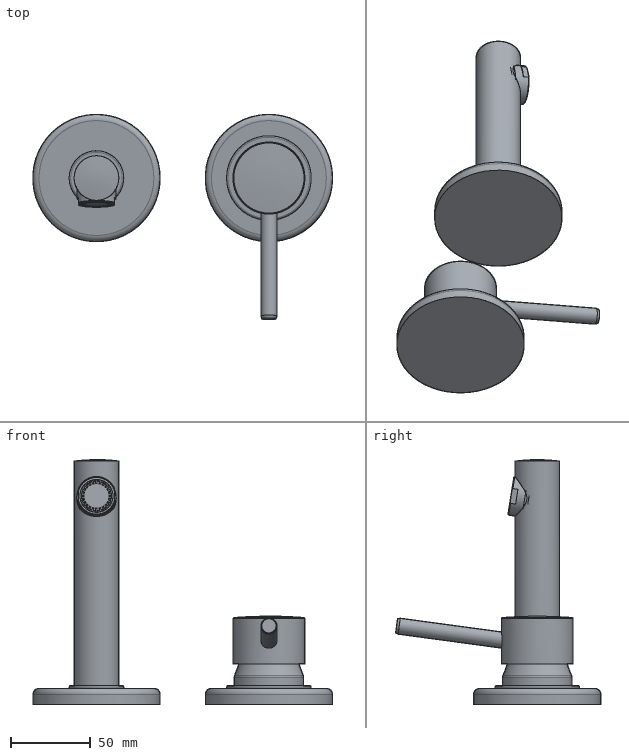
import cadquery as cq
import math

total_width = 188.0
total_depth = 128.8
total_height = 153.5
flange_diameter = 79.9
spout_x = (flange_diameter - total_width) / 2
mixer_x = -spout_x

flange_height = 10.2
flange_fillet = 4.0
ring_height = 1.7
ring_fillet = 1.0
spout_ring_radius = 17.1
mixer_ring_radius = 26.5

column_diameter = 28.0
column_radius = column_diameter / 2
column_crown = 1.0

bore_radius = 12.5
bore_depth = 11.3
aerator_radius = 12.2
aerator_head_length = 8.8
spigot_radius = 11.7
aerator_tilt = 9.0
aerator_face_reach = 16.5
aerator_face_z = 130.8
aerator_rim_chamfer = 0.5
flat_width = 22.5
flat_length = 3.8
rim_inner_radius = 10.3
groove_depth = 1.0
disc_radius = 9.4
notch_count = 24
notch_width = 1.0
notch_length = 1.5

neck_radius = 21.8
neck_shoulder_z = 17.0
cone_start_z = 18.0
cone_start_radius = 21.6
cone_end_radius = 18.8

cap_radius = 22.5
cap_bottom_z = 25.5
cap_top_z = 55.5
cap_crown = 1.0
cap_chamfer = 0.5
lever_radius = 5.0
lever_tilt = 7.7
lever_axis_z = 37.5
lever_end_chamfer_depth = 0.5
lever_end_chamfer_length = 1.7
handle_reach = total_depth - flange_diameter / 2


def make_flange(x):
    """Round base plate with a rounded upper edge."""
    plate = cq.Workplane("XY").center(x, 0).circle(flange_diameter / 2).extrude(flange_height)
    return plate.faces(">Z").edges().fillet(flange_fillet)


def make_ring(x, outer_radius, inner_radius):
    """Thin seal ring on a flange, rounded on its outer upper edge."""
    base = cq.Workplane("XY", origin=(x, 0, flange_height))
    disc = base.circle(outer_radius).extrude(ring_height).faces(">Z").edges().fillet(ring_fillet)
    return disc.cut(base.circle(inner_radius).extrude(ring_height))


def make_crowned_cylinder(x, radius, bottom_z, top_z, crown):
    """Upright cylinder with a slightly domed top."""
    rim_z = top_z - crown
    sphere_radius = (radius**2 + crown**2) / (2 * crown)
    mid_radius = radius / 2
    mid_z = top_z - sphere_radius + math.sqrt(sphere_radius**2 - mid_radius**2)
    profile = (
        cq.Workplane("XZ", origin=(x, 0, 0))
        .moveTo(0, bottom_z)
        .lineTo(radius, bottom_z)
        .lineTo(radius, rim_z)
        .threePointArc((mid_radius, mid_z), (0, top_z))
        .close()
    )
    return profile.revolve(360, (0, 0, 0), (0, 1, 0))


def make_tilted_plane(x, y, z, tilt):
    """Workplane facing -Y and raised by the tilt angle, with its local x along X."""
    angle = math.radians(tilt)
    return cq.Plane(origin=(x, y, z), xDir=(1, 0, 0), normal=(0, -math.cos(angle), math.sin(angle)))


aerator_plane = make_tilted_plane(spout_x, -aerator_face_reach, aerator_face_z, aerator_tilt)


def make_column():
    """Spout column with the blind bore that holds the aerator with a small clearance."""
    column = make_crowned_cylinder(spout_x, column_radius, flange_height, total_height, column_crown)
    bore = cq.Workplane(aerator_plane).circle(bore_radius).extrude(-bore_depth)
    return column.cut(bore)


def make_aerator():
    """Round outlet head on a narrower spigot, with a notched face disc and two wrench flats."""
    face = cq.Workplane(aerator_plane)
    head = face.circle(aerator_radius).extrude(-aerator_head_length)
    head = head.faces("<Y").edges().chamfer(aerator_rim_chamfer)
    body = head.union(face.circle(spigot_radius).extrude(-bore_depth))
    groove = face.circle(rim_inner_radius).extrude(-groove_depth)
    disc = face.circle(disc_radius).extrude(-groove_depth)
    notches = (
        face.polarArray(disc_radius - notch_length / 2, 0, 360, notch_count)
        .rect(notch_length, notch_width)
        .extrude(-groove_depth)
    )
    body = body.cut(groove.cut(disc)).cut(notches)
    keep_between_flats = face.rect(flat_width, 2 * aerator_radius).extrude(-flat_length)
    outer_slice = face.circle(aerator_radius).extrude(-flat_length)
    return body.cut(outer_slice.cut(keep_between_flats))


def make_neck():
    """Neck below the handle: cylinder, small shoulder and a cone narrowing upward."""
    profile = (
        cq.Workplane("XZ", origin=(mixer_x, 0, 0))
        .moveTo(0, flange_height)
        .lineTo(neck_radius, flange_height)
        .lineTo(neck_radius, neck_shoulder_z)
        .lineTo(cone_start_radius, cone_start_z)
        .lineTo(cone_end_radius, cap_bottom_z)
        .lineTo(0, cap_bottom_z)
        .close()
    )
    return profile.revolve(360, (0, 0, 0), (0, 1, 0))


def make_handle():
    """Cap and its lever rod as one piece; the rod starts on the cap axis."""
    cap = make_crowned_cylinder(mixer_x, cap_radius, cap_bottom_z, cap_top_z, cap_crown)
    cap = cap.faces(">Z").edges("%CIRCLE").chamfer(cap_chamfer)
    angle = math.radians(lever_tilt)
    end_disc_radius = lever_radius - lever_end_chamfer_depth
    lever_length = (handle_reach - end_disc_radius * math.sin(angle)) / math.cos(angle)
    lever_plane = make_tilted_plane(mixer_x, 0, lever_axis_z, lever_tilt)
    lever = cq.Workplane(lever_plane).circle(lever_radius).extrude(lever_length)
    lever = lever.faces("<Y").edges().chamfer(lever_end_chamfer_length, lever_end_chamfer_depth)
    return cap.union(lever)


flanges = [make_flange(x) for x in (spout_x, mixer_x)]
spout_ring = make_ring(spout_x, spout_ring_radius, column_radius)
mixer_ring = make_ring(mixer_x, mixer_ring_radius, neck_radius)
column = make_column()
aerator = make_aerator()
neck = make_neck()
handle = make_handle()

result = cq.Compound.makeCompound(
    [
        *[flange.val() for flange in flanges],
        spout_ring.val(),
        mixer_ring.val(),
        column.val(),
        aerator.val(),
        neck.val(),
        handle.val(),
    ]
)